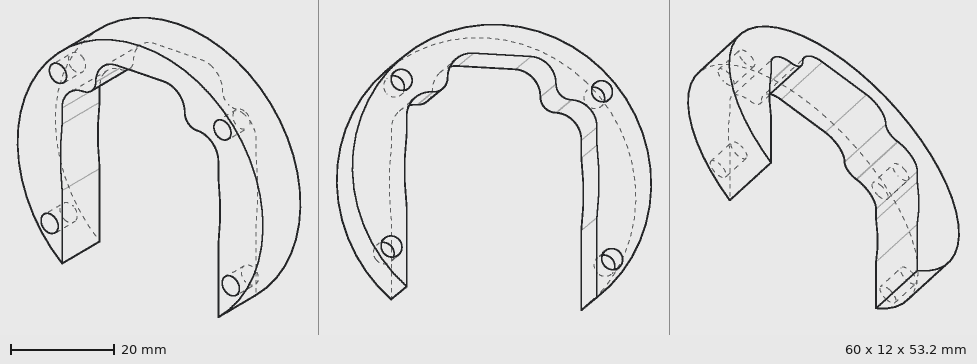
import cadquery as cq

outer_radius = 30.0
thickness = 12.0

slot_half_width = 19.05
neck_half_width = 10.85
shoulder_z = 15.8
neck_top_z = 24.0
corner_radius = 5.1
step_radius = 3.0

bow_half_height = 7.2
bow_depth = 0.4

hole_diameter = 4.2
hole_depth = 6.0
upper_hole_x, upper_hole_z = 20.1, 17.85
lower_hole_x, lower_hole_z = 22.1, -15.35


def front_plane():
    """Sketch plane on the front face (Y = 0), with X right and Z up; its normal is -Y."""
    return cq.Workplane("XZ")


def disc():
    return front_plane().circle(outer_radius).extrude(-thickness)


def rounded_cutter(half_width, top_z):
    """Block that reaches below the disc, with its two upper edges rounded."""
    bottom_z = -outer_radius
    return (
        front_plane()
        .center(0, (top_z + bottom_z) / 2)
        .rect(2 * half_width, top_z - bottom_z)
        .extrude(-thickness)
        .edges("|Y and >Z")
        .fillet(corner_radius)
    )


def bow_cutter():
    """Barrel-shaped block that bows both side walls outward."""
    return (
        front_plane()
        .moveTo(-slot_half_width, -bow_half_height)
        .lineTo(slot_half_width, -bow_half_height)
        .threePointArc((slot_half_width + bow_depth, 0), (slot_half_width, bow_half_height))
        .lineTo(-slot_half_width, bow_half_height)
        .threePointArc((-slot_half_width - bow_depth, 0), (-slot_half_width, -bow_half_height))
        .close()
        .extrude(-thickness)
    )


def step_fillet(body):
    """Round the two ridges where the neck meets the shoulders."""
    search_margin = 0.6
    ridge_zone = cq.selectors.BoxSelector(
        (-neck_half_width - search_margin, -search_margin, shoulder_z - search_margin),
        (neck_half_width + search_margin, thickness + search_margin, shoulder_z + search_margin),
    )
    return body.edges("|Y").edges(ridge_zone).fillet(step_radius)


def hole_cutters():
    centres = [
        (side * x, z)
        for side in (-1, 1)
        for x, z in ((upper_hole_x, upper_hole_z), (lower_hole_x, lower_hole_z))
    ]
    return front_plane().pushPoints(centres).circle(hole_diameter / 2).extrude(-hole_depth)


ring = disc()
ring = ring.cut(rounded_cutter(slot_half_width, shoulder_z))
ring = ring.cut(rounded_cutter(neck_half_width, neck_top_z))
ring = step_fillet(ring)
ring = ring.cut(bow_cutter())
result = ring.cut(hole_cutters())